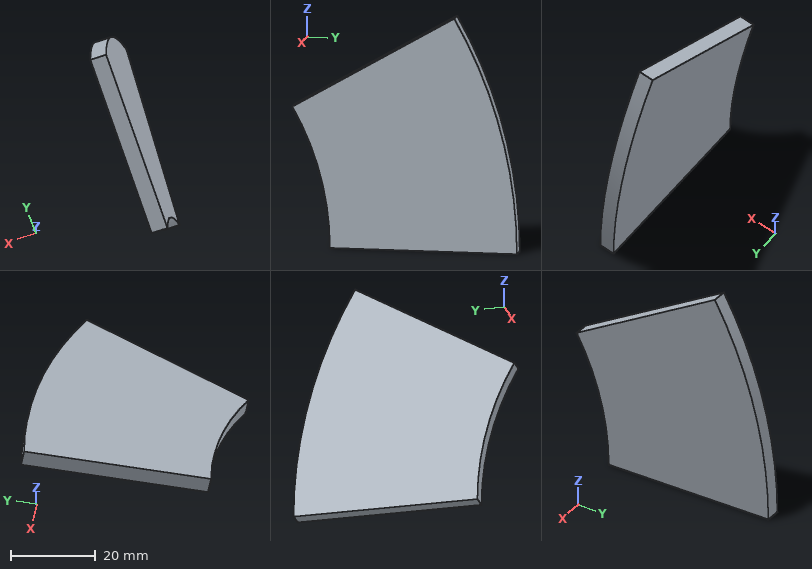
import cadquery as cq
import math

outer_radius = 112.5
inner_radius = 67.5
sweep_angle = 30.0
thickness = 4.0


def ring_point(radius, angle):
    """Point (Y, Z) on a circle about the ring axis, angle in degrees from +Y."""
    turn = math.radians(angle)
    return radius * math.cos(turn), radius * math.sin(turn)


result = (
    cq.Workplane("YZ")
    .moveTo(*ring_point(inner_radius, 0))
    .lineTo(*ring_point(outer_radius, 0))
    .threePointArc(
        ring_point(outer_radius, sweep_angle / 2),
        ring_point(outer_radius, sweep_angle),
    )
    .lineTo(*ring_point(inner_radius, sweep_angle))
    .threePointArc(
        ring_point(inner_radius, sweep_angle / 2),
        ring_point(inner_radius, 0),
    )
    .close()
    .extrude(thickness)
)